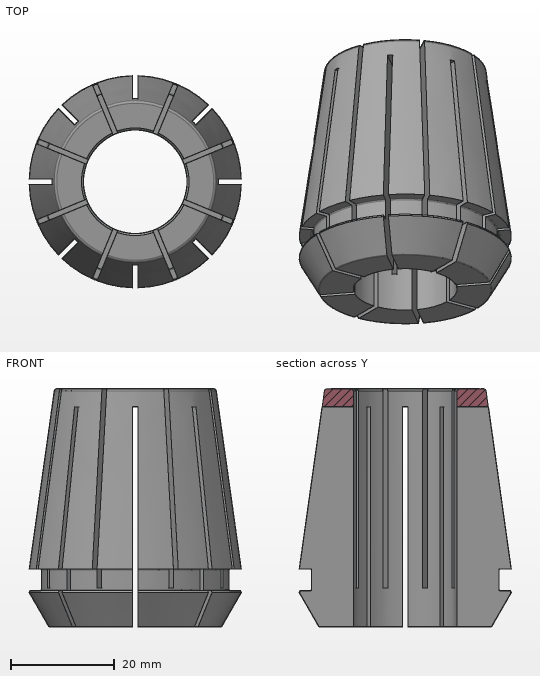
import cadquery as cq
import math

total_height = 46.0
max_radius = 20.5
bore_radius = 10.0

taper_half_angle = 8.0
taper_bottom_z = 11.15
top_outer_fillet = 0.5
top_bore_chamfer = 0.4

groove_bottom_z = 7.0
groove_radius = 18.15
groove_fillet = 0.2
nut_cone_half_angle = 30.0
nut_cone_edge_z = 6.6
nut_rim_setback = 0.2
nut_bottom_fillet = 0.2

slits_per_end = 8
slit_width = 1.0
lower_slit_top_z = 42.5
upper_slit_bottom_z = 7.5
slit_pitch_angle = 360.0 / slits_per_end

slit_reach = max_radius + 1.0

taper_length = total_height - taper_bottom_z
top_radius = max_radius - taper_length * math.tan(math.radians(taper_half_angle))
bottom_radius = max_radius - nut_cone_edge_z * math.tan(math.radians(nut_cone_half_angle))


def make_body():
    """Revolve the half section of the collet about Z and ease its end edges."""
    half_section = (
        cq.Workplane("XZ")
        .moveTo(bore_radius, 0)
        .lineTo(bottom_radius, 0)
        .lineTo(max_radius, nut_cone_edge_z)
        .lineTo(max_radius - nut_rim_setback, groove_bottom_z)
        .lineTo(groove_radius + groove_fillet, groove_bottom_z)
        .radiusArc((groove_radius, groove_bottom_z + groove_fillet), groove_fillet)
        .lineTo(groove_radius, taper_bottom_z - groove_fillet)
        .radiusArc((groove_radius + groove_fillet, taper_bottom_z), groove_fillet)
        .lineTo(max_radius, taper_bottom_z)
        .lineTo(top_radius, total_height)
        .lineTo(bore_radius, total_height)
        .close()
    )
    body = half_section.revolve(360, (0, 0, 0), (0, 1, 0))
    inner_edge = cq.selectors.RadiusNthSelector(0)
    outer_edge = cq.selectors.RadiusNthSelector(-1)
    body = body.faces("<Z").edges(outer_edge).fillet(nut_bottom_fillet)
    body = body.faces(">Z").edges(inner_edge).chamfer(top_bore_chamfer)
    return body.faces(">Z").edges(outer_edge).fillet(top_outer_fillet)


def cut_slits(body, first_angle, bottom_z, top_z):
    """Cut one ring of radial slits through the wall between two heights."""
    for index in range(slits_per_end):
        slit = (
            cq.Workplane("XY")
            .workplane(offset=bottom_z)
            .rect(slit_reach, slit_width)
            .extrude(top_z - bottom_z)
            .translate((slit_reach / 2, 0, 0))
            .rotate((0, 0, 0), (0, 0, 1), first_angle + index * slit_pitch_angle)
        )
        body = body.cut(slit)
    return body


result = make_body()
result = cut_slits(result, 0, 0, lower_slit_top_z)
result = cut_slits(result, slit_pitch_angle / 2, upper_slit_bottom_z, total_height)